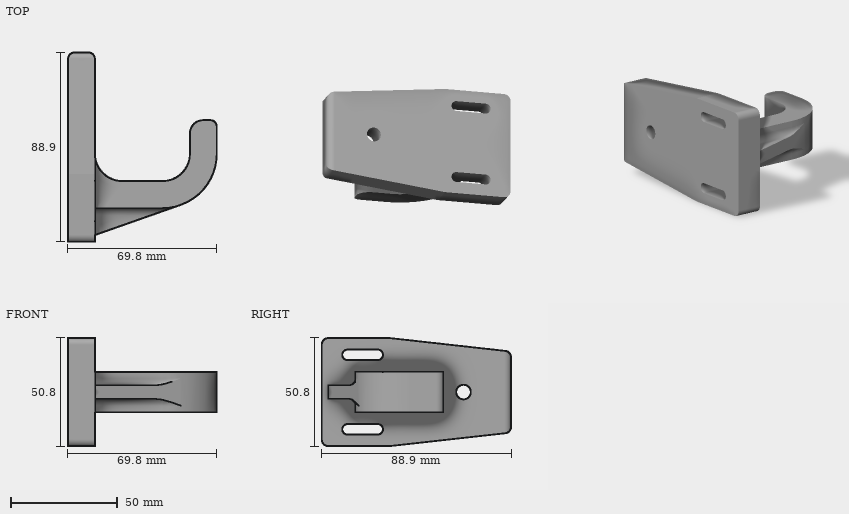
import cadquery as cq
import math

plate_thickness = 12.7
plate_length = 88.9
plate_height = 50.8
plate_end_height = 38.1
taper_start_y = 31.75
edge_radius = 3.175

slot_length = 19.0
slot_width = 4.826
slot_center_y = 19.22
slot_spacing = 34.925
hole_diameter = 6.747
hole_center_y = 66.548

hook_width = 19.05
hook_thickness = 12.7
hook_reach = 69.85
hook_tip_y = 57.15
hook_bottom_y = 15.875
throat_radius = 12.7
outer_radius = throat_radius + hook_thickness
tip_inner_radius = 6.35
tip_outer_radius = 3.175
bend_x = hook_reach - outer_radius
bend_y = hook_bottom_y + outer_radius

rib_width = 6.35
rib_fillet = 3.175
rib_root_y = 3.175


def make_plate():
    half_height = plate_height / 2
    half_end = plate_end_height / 2
    plate = (
        cq.Workplane("YZ")
        .moveTo(0, -half_height)
        .lineTo(taper_start_y, -half_height)
        .lineTo(plate_length, -half_end)
        .lineTo(plate_length, half_end)
        .lineTo(taper_start_y, half_height)
        .lineTo(0, half_height)
        .close()
        .extrude(plate_thickness)
    )
    plate = plate.faces("<Y").edges("|X").fillet(edge_radius)
    return plate.faces(">Y").edges().fillet(edge_radius)


def make_mounting_holes():
    slots = (
        cq.Workplane("YZ")
        .pushPoints([(slot_center_y, side * slot_spacing / 2) for side in (-1, 1)])
        .slot2D(slot_length, slot_width)
        .extrude(plate_thickness)
    )
    hole = (
        cq.Workplane("YZ")
        .center(hole_center_y, 0)
        .circle(hole_diameter / 2)
        .extrude(plate_thickness)
    )
    return slots.union(hole)


def make_hook():
    throat_y = hook_bottom_y + hook_thickness
    arm_inner_x = hook_reach - hook_thickness
    return (
        cq.Workplane("XY")
        .moveTo(plate_thickness, hook_bottom_y)
        .lineTo(bend_x, hook_bottom_y)
        .radiusArc((hook_reach, bend_y), -outer_radius)
        .lineTo(hook_reach, hook_tip_y - tip_outer_radius)
        .radiusArc((hook_reach - tip_outer_radius, hook_tip_y), -tip_outer_radius)
        .lineTo(arm_inner_x + tip_inner_radius, hook_tip_y)
        .radiusArc((arm_inner_x, hook_tip_y - tip_inner_radius), -tip_inner_radius)
        .lineTo(arm_inner_x, bend_y)
        .radiusArc((bend_x, throat_y), throat_radius)
        .lineTo(plate_thickness + throat_radius, throat_y)
        .radiusArc((plate_thickness, throat_y + throat_radius), throat_radius)
        .close()
        .extrude(hook_width / 2, both=True)
    )


def rib_section(x, origin_y):
    """Rib cross-section at the given X, flared by fillets where it meets the hook."""
    half_web = rib_width / 2
    half_base = half_web + rib_fillet
    base_y = hook_bottom_y - origin_y
    web_y = base_y - rib_fillet
    root_y = rib_root_y - origin_y
    return (
        cq.Workplane("YZ", origin=(x, origin_y, 0))
        .moveTo(base_y, -half_base)
        .radiusArc((web_y, -half_web), -rib_fillet)
        .lineTo(root_y, -half_web)
        .lineTo(root_y, half_web)
        .lineTo(web_y, half_web)
        .radiusArc((base_y, half_base), -rib_fillet)
        .close()
    )


def make_rib():
    run_x = bend_x - plate_thickness
    run_y = bend_y - rib_root_y
    center_distance = math.hypot(run_x, run_y)
    slope_angle = math.atan2(run_y, run_x) - math.asin(outer_radius / center_distance)
    tangent_x = bend_x + outer_radius * math.sin(slope_angle)
    tangent_y = bend_y - outer_radius * math.cos(slope_angle)

    straight = rib_section(plate_thickness, 0).extrude(run_x)
    curved = rib_section(bend_x, bend_y).revolve(math.degrees(slope_angle), (0, 0, 0), (0, 1, 0))

    wedge = (
        cq.Workplane("XY")
        .moveTo(plate_thickness, rib_root_y)
        .lineTo(tangent_x, tangent_y)
        .lineTo(bend_x, bend_y)
        .lineTo(plate_thickness, bend_y)
        .close()
        .extrude(hook_width / 2, both=True)
    )
    return straight.union(curved).intersect(wedge)


plate = make_plate().cut(make_mounting_holes())
result = plate.union(make_hook()).union(make_rib())